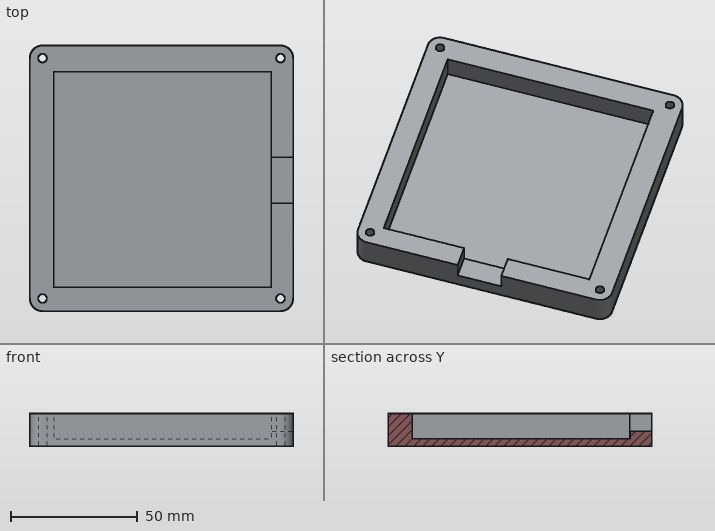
import cadquery as cq

length_x = 103.8
width_y = 104.7
height = 13.0
corner_radius = 5.0

rim_left = 9.5
rim_right = 8.6
rim_front = 9.5
rim_back = 10.5
floor_thickness = 3.0

notch_width = 18.0
notch_center_y = -0.7
notch_floor = 6.0

hole_diameter = 3.4

pocket_x = length_x - rim_left - rim_right
pocket_y = width_y - rim_front - rim_back


def make_block():
    block = cq.Workplane("XY").box(length_x, width_y, height, centered=(True, True, False))
    return block.edges("|Z").fillet(corner_radius)


def make_pocket():
    pocket = cq.Workplane("XY").box(pocket_x, pocket_y, height - floor_thickness, centered=False)
    return pocket.translate((rim_left - length_x / 2, rim_front - width_y / 2, floor_thickness))


def make_notch():
    notch = cq.Workplane("XY").box(
        rim_right, notch_width, height - notch_floor, centered=(False, True, False)
    )
    return notch.translate((length_x / 2 - rim_right, notch_center_y, notch_floor))


def make_screw_holes():
    spacing_x = length_x - 2 * corner_radius
    spacing_y = width_y - 2 * corner_radius
    return (
        cq.Workplane("XY")
        .rarray(spacing_x, spacing_y, 2, 2)
        .circle(hole_diameter / 2)
        .extrude(height)
    )


result = make_block().cut(make_pocket()).cut(make_notch()).cut(make_screw_holes())